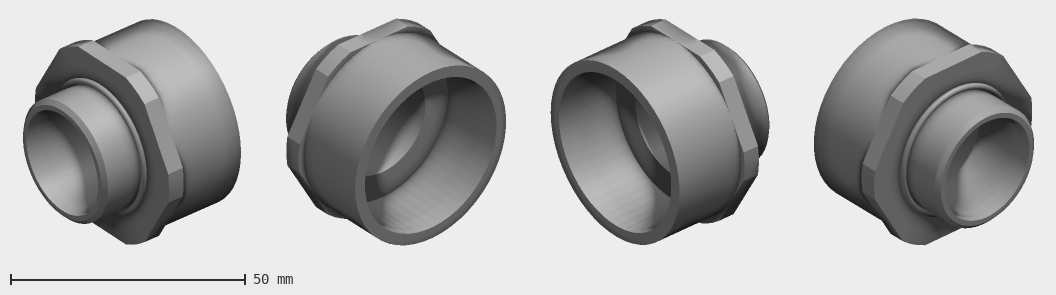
import cadquery as cq
import math

body_diameter = 42.0
body_length = 17.0
flange_diameter = 44.95
hexagon_sides = 6
flange_flats = body_diameter
flange_thickness = 4.05
spigot_diameter = 28.3
spigot_length = 10.95
spigot_chamfer = 1.0
bore_diameter = 24.0
bore_length = 16.0
socket_diameter = 36.63
ring_thickness = 1.45
ring_overlap = 0.022
total_length = body_length + flange_thickness + spigot_length

spigot_end = -total_length / 2
flange_front = spigot_end + spigot_length
flange_back = flange_front + flange_thickness


def cylinder(diameter, start, length):
    """Cylinder about Y, growing from start towards +Y."""
    plane = cq.Workplane("XZ", origin=(0, start, 0))
    return plane.circle(diameter / 2).extrude(-length)


def make_flange():
    """Hexagon with flats facing +Z and -Z and its corners turned down to a circle."""
    corner_diameter = flange_flats / math.cos(math.pi / hexagon_sides)
    hexagon = (
        cq.Workplane("XZ", origin=(0, flange_front, 0))
        .polygon(hexagon_sides, corner_diameter)
        .extrude(-flange_thickness)
    )
    return hexagon.intersect(cylinder(flange_diameter, flange_front, flange_thickness))


def make_spigot():
    """Plain spigot with a chamfered free end, run into the flange to join it."""
    spigot = cylinder(spigot_diameter, spigot_end, spigot_length + flange_thickness)
    return spigot.faces("<Y").chamfer(spigot_chamfer)


def make_seal_ring():
    """Round-section ring around the spigot, resting against the flange."""
    ring_radius = (spigot_diameter + ring_thickness) / 2 - ring_overlap
    ring_center = flange_front - ring_thickness / 2
    return (
        cq.Workplane("XY")
        .center(ring_radius, ring_center)
        .circle(ring_thickness / 2)
        .revolve(360, (-ring_radius, 0), (-ring_radius, 1))
    )


body = cylinder(body_diameter, flange_back, body_length)
bore = cylinder(bore_diameter, spigot_end, total_length)
socket = cylinder(socket_diameter, spigot_end + bore_length, total_length - bore_length)

result = body.union(make_flange()).union(make_spigot()).union(make_seal_ring())
result = result.cut(bore).cut(socket)